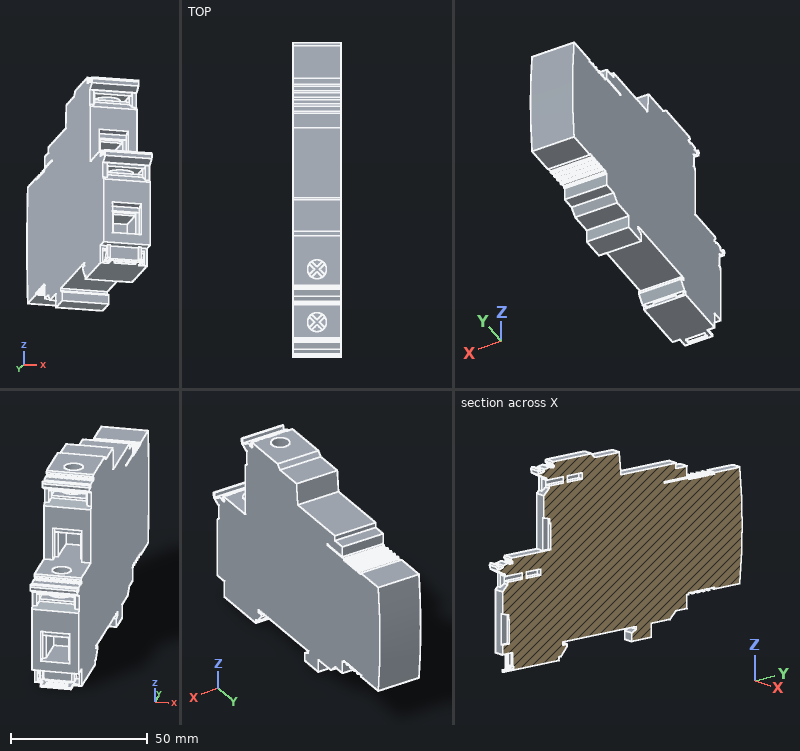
import cadquery as cq


WIDTH = 17.6
LENGTH = 115.2
HEIGHT = 76.0

LIP_REACH = 2.8
LOWER_FRONT = LIP_REACH
UPPER_FRONT = LOWER_FRONT + 19.4
LEVEL_STEP = 33.2
UPPER_TOP = HEIGHT
LOWER_TOP = UPPER_TOP - LEVEL_STEP

BASE = 6.7
FOOT_BOTTOM = 1.4

MODULE_BOTTOM = 14.6
MODULE_TOP = 59.0
MODULE_EDGE = 114.1
HOUSING_BACK = 89.3

GRIP_FRONT = HOUSING_BACK + 0.8
GRIP_BACK = 102.1
GRIP_DEPTH = 0.6
GRIP_RIB = 0.8
GRIP_PITCH = 2.4
GRIP_FIRST_RIB = 91.9
GRIP_RIBS = 4

SLIT_FRONT = 78.7
SLIT_HEIGHT = 0.3

SCREW_SETBACK = 10.1
SCREW_HOLE_RADIUS = 3.5
SCREW_RADIUS = 4.8
SCREW_SLOT_WIDTH = 1.3
SCREW_SLOT_DEPTH = 0.9

WINDOW_HALF = 6.6
WINDOW_FLARE_HALF = 7.3
WINDOW_RECESS = 1.0
RAMP_DEPTH = 2.4
ROOF_SLOPE_DEPTH = 0.6
RAMP_BOTTOM = 12.2
RECESS_BOTTOM = 11.2
RAMP_TOP = 9.8
CHAMBER_FLOOR = 8.9
CHAMBER_ROOF = 6.7
WINDOW_ROOF = 5.6

MOUTH_HALF = 5.4
MOUTH_TOP = 20.7
MOUTH_INNER_TOP = 21.5
LOWER_MOUTH_FLOOR = 10.5
MOUTH_DEPTH = 2.8
BORE_HALF = 4.3
TAPER_TOP = 23.3
TAPER_DEPTH = 0.7
BORE_TOP = 24.1
CLAMP_DEPTH = 4.6
BORE_DEPTH = 16.1

CLIP_FRONT = 7.5
CLIP_BACK = 33.2
CLIP_HEEL = 29.4
CLIP_FLOOR = 0.7
TUNNEL_HALF = 7.8
TUNNEL_TOP = 5.5
TUNNEL_SLOPE_TOP = 4.8
TUNNEL_LOW_ROOF = 1.4
TUNNEL_LEDGE = 0.6
TUNNEL_SLOPE_DEPTH = 3.5
SPRING_HALF = 6.3
SPRING_FRONT = 6.1
SPRING_BOTTOM = 2.0
SPRING_INNER_HALF = 5.4
WEB_HALF = 4.7
WEB_RECESS = 0.6
TAB_FRONT = 3.5
TAB_HALF = 5.8
TAB_SLOT_HALF = 3.9
TAB_SLOT_FRONT = 4.3
TAB_SLOT_BACK = 6.5


def side_prism(sketch, half_width):
    """Extrude a closed Y-Z outline evenly to both sides of the middle plane."""
    return sketch.extrude(half_width, both=True)


def side_polygon(points, half_width):
    return side_prism(cq.Workplane("YZ").polyline(points).close(), half_width)


def block(half_width, y_range, z_range):
    """Box centred on X that spans the given Y and Z ranges."""
    (y0, y1), (z0, z1) = y_range, z_range
    return cq.Workplane("XY").box(2 * half_width, y1 - y0, z1 - z0, centered=(True, False, False)) \
        .translate((0, y0, z0))


def front_loft(front_y, front_rect, back_y, back_rect):
    """Loft between two rectangles facing -Y, each given as (half width, bottom, top)."""
    def wire(y, rect):
        half, bottom, top = rect
        corners = [(-half, bottom), (half, bottom), (half, top), (-half, top)]
        return cq.Wire.makePolygon([cq.Vector(x, y, z) for x, z in corners], close=True)

    return cq.Workplane(cq.Solid.makeLoft([wire(front_y, front_rect), wire(back_y, back_rect)], True))


def terminal_outline(front, top):
    """Edge of one terminal from its top, around the marker lip, down to the front face."""
    offsets = [
        (4.4, 0), (3.9, -0.7), (4.8, -1.7), (4.6, -2.2), (3.3, -2.2), (2.9, -1.7), (0.2, -2.2),
        (0.2, -3.0), (-1.5, -3.5), (-1.8, -1.7), (-2.3, -1.7), (-LIP_REACH, -2.4),
        (-2.4, -3.9), (0.6, -WINDOW_ROOF), (WINDOW_RECESS, -WINDOW_ROOF),
        (WINDOW_RECESS, -RECESS_BOTTOM), (0, -RAMP_BOTTOM),
    ]
    return [(front + dy, top + dz) for dy, dz in offsets]


def make_body():
    shoulder = 84.1
    upper_edge = [
        (MODULE_EDGE, MODULE_TOP), (HOUSING_BACK, MODULE_TOP), (HOUSING_BACK, 63.6), (shoulder, 63.6),
        (shoulder, 65.7), (58.4, 65.7), (57.6, 74.3), (46.2, 74.3), (44.5, UPPER_TOP),
    ]
    terminals = (
        terminal_outline(UPPER_FRONT, UPPER_TOP)
        + [(UPPER_FRONT, LOWER_TOP)]
        + terminal_outline(LOWER_FRONT, LOWER_TOP)
    )
    lower_edge = [
        (LOWER_FRONT, BASE), (65.4, BASE), (65.4, 5.8), (63.3, 4.7), (63.3, FOOT_BOTTOM),
        (72.6, FOOT_BOTTOM), (72.6, BASE), (81.3, BASE), (shoulder, 9.5), (HOUSING_BACK, 9.5),
        (HOUSING_BACK, MODULE_BOTTOM), (MODULE_EDGE, MODULE_BOTTOM),
    ]
    outline = cq.Workplane("YZ").polyline(upper_edge + terminals + lower_edge)
    bulge = (LENGTH, (MODULE_BOTTOM + MODULE_TOP) / 2)
    return side_prism(outline.threePointArc(bulge, upper_edge[0]).close(), WIDTH / 2)


def make_grip(bottom):
    """Recessed band across the module with upright ribs left standing in it."""
    z_range = (bottom, bottom + GRIP_DEPTH)
    band = block(WIDTH, (GRIP_FRONT, GRIP_BACK), z_range)
    for i in range(GRIP_RIBS):
        rib = GRIP_FIRST_RIB + i * GRIP_PITCH
        band = band.cut(block(WIDTH, (rib, rib + GRIP_RIB), z_range))
    return band


def make_window(front, top):
    """Flared window under the lip that leads into the screw chamber."""
    opening = front + WINDOW_RECESS
    back = front + RAMP_DEPTH
    floor, roof = top - RECESS_BOTTOM, top - WINDOW_ROOF
    ramp_side = [
        (opening, floor), (back, top - RAMP_TOP), (back, top - CHAMBER_ROOF),
        (opening + ROOF_SLOPE_DEPTH, top - CHAMBER_ROOF), (opening, roof),
    ]
    ramp = side_polygon(ramp_side, WINDOW_FLARE_HALF)
    flare = front_loft(opening, (WINDOW_FLARE_HALF, floor, roof), back, (WINDOW_HALF, floor, roof))
    chamber_back = front + 2 * SCREW_SETBACK - RAMP_DEPTH
    chamber = block(WINDOW_HALF, (back, chamber_back), (top - CHAMBER_FLOOR, top - CHAMBER_ROOF))
    return ramp.intersect(flare).union(chamber)


def make_wire_entry(front, top, floor):
    """Wire entry: sloped mouth, tapered side walls and a deep bore with a stepped roof."""
    mouth_back = front + MOUTH_DEPTH
    taper_back = mouth_back + TAPER_DEPTH
    taper_top = top - TAPER_TOP
    mouth = front_loft(
        front, (MOUTH_HALF, floor, top - MOUTH_TOP),
        mouth_back, (MOUTH_HALF, floor, top - MOUTH_INNER_TOP),
    )
    taper = front_loft(mouth_back, (MOUTH_HALF, floor, taper_top), taper_back, (BORE_HALF, floor, taper_top))
    throat = block(BORE_HALF, (taper_back, front + CLAMP_DEPTH), (floor, taper_top))
    bore = block(BORE_HALF, (taper_back, front + BORE_DEPTH), (floor, top - BORE_TOP))
    return mouth.union(taper).union(throat).union(bore)


def upright_cylinder(radius, y, bottom, top):
    return cq.Workplane("XY", origin=(0, y, bottom)).circle(radius).extrude(top - bottom)


def make_screw(front, top):
    """Clamping screw head with a diagonal cross slot."""
    y = front + SCREW_SETBACK
    head_top = top - CHAMBER_ROOF
    head = upright_cylinder(SCREW_RADIUS, y, top - CHAMBER_FLOOR, head_top)
    for angle in (45, 135):
        slot = (
            cq.Workplane("XY", origin=(0, y, head_top - SCREW_SLOT_DEPTH))
            .transformed(rotate=(0, 0, angle))
            .rect(2 * SCREW_HOLE_RADIUS, SCREW_SLOT_WIDTH)
            .extrude(SCREW_SLOT_DEPTH)
        )
        head = head.cut(slot)
    return head


def fit_terminal(body, front, top, entry_floor):
    screw_hole = upright_cylinder(SCREW_HOLE_RADIUS, front + SCREW_SETBACK, top - CHAMBER_ROOF, top)
    return (
        body.cut(make_window(front, top))
        .cut(make_wire_entry(front, top, entry_floor))
        .cut(screw_hole)
        .union(make_screw(front, top))
    )


def make_clip():
    latch_outline = [
        (CLIP_FRONT, BASE), (CLIP_FRONT, 0), (CLIP_HEEL, 0), (CLIP_HEEL, 1.4), (30.3, 1.4),
        (CLIP_BACK, 4.7), (CLIP_BACK, 5.6), (31.1, 5.6), (31.1, BASE),
    ]
    slope_back = CLIP_FRONT + TUNNEL_SLOPE_DEPTH
    tunnel_outline = [
        (CLIP_FRONT, CLIP_FLOOR), (CLIP_BACK, CLIP_FLOOR), (CLIP_BACK, TUNNEL_LOW_ROOF),
        (slope_back, TUNNEL_LOW_ROOF), (CLIP_FRONT + TUNNEL_LEDGE, TUNNEL_SLOPE_TOP),
        (CLIP_FRONT + TUNNEL_LEDGE, TUNNEL_TOP), (CLIP_FRONT, TUNNEL_TOP),
    ]
    web = block(WEB_HALF, (CLIP_FRONT + WEB_RECESS, CLIP_HEEL), (0, BASE))
    spring = block(SPRING_HALF, (SPRING_FRONT, slope_back), (SPRING_BOTTOM, BASE)).cut(
        block(SPRING_INNER_HALF, (SPRING_FRONT, CLIP_FRONT), (SPRING_BOTTOM, BASE))
    )
    spring_middle = block(SPRING_INNER_HALF, (CLIP_FRONT, slope_back), (TUNNEL_LOW_ROOF, BASE))
    tab = block(TAB_HALF, (TAB_FRONT, CLIP_FRONT), (0, CLIP_FLOOR))
    tab_slot = block(TAB_SLOT_HALF, (TAB_SLOT_FRONT, TAB_SLOT_BACK), (0, CLIP_FLOOR))
    latch = side_polygon(latch_outline, WIDTH / 2).cut(side_polygon(tunnel_outline, TUNNEL_HALF))
    return latch.union(web).union(spring).union(spring_middle).union(tab.cut(tab_slot))


body = make_body()
for grip_bottom in (MODULE_BOTTOM, MODULE_TOP - GRIP_DEPTH):
    body = body.cut(make_grip(grip_bottom))
body = body.cut(block(WIDTH, (SLIT_FRONT, HOUSING_BACK), (MODULE_TOP, MODULE_TOP + SLIT_HEIGHT)))
body = fit_terminal(body, UPPER_FRONT, UPPER_TOP, LOWER_TOP)
body = fit_terminal(body, LOWER_FRONT, LOWER_TOP, LOWER_MOUTH_FLOOR)
result = body.union(make_clip())